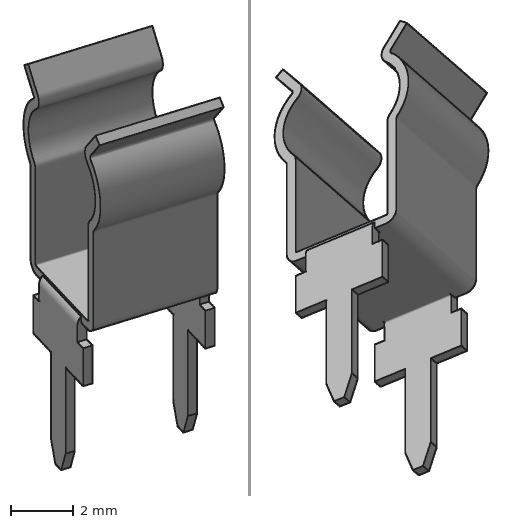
import cadquery as cq
import math

thickness = 0.35
inner_bend = 0.06
outer_bend = inner_bend + thickness

cradle_length = 4.53
wall_half_width = 2.13
floor_bottom = 6.4
floor_top = floor_bottom + thickness
wall_inside = wall_half_width - thickness

jaw_span = 5.23
jaw_half_width = jaw_span / 2
jaw_outer_radius = 1.86
jaw_inner_radius = jaw_outer_radius - thickness
jaw_center_x = jaw_half_width - jaw_outer_radius
jaw_center_z = 11.74
jaw_root_outer_radius = 0.21
jaw_root_inner_radius = 0.35

lip_notch_z = 13.23
lip_angle = math.radians(52)
lip_top = 14.32
lip_notch_radius = 0.09
lip_bend_radius = lip_notch_radius + thickness

leg_span = 4.8
neck_half_width = 1.3
shoulder_half_width = 1.69
pin_half_width = 0.5
tip_half_width = 0.2
shoulder_top = 5.69
shoulder_bottom = 4.2
taper_top = 0.83


def jaw_x(radius, z):
    """X of the right jaw circle at height z."""
    return jaw_center_x + math.sqrt(radius**2 - (z - jaw_center_z) ** 2)


def jaw_z_below(radius, x):
    """Z where the lower half of the right jaw circle reaches x."""
    return jaw_center_z - math.sqrt(radius**2 - (x - jaw_center_x) ** 2)


def lip_meets_jaw(start):
    """Where the inner line of the lip, run on past start, crosses the upper jaw circle."""
    along = (math.cos(lip_angle), math.sin(lip_angle))
    offset = (start[0] - jaw_center_x, start[1] - jaw_center_z)
    half_b = offset[0] * along[0] + offset[1] * along[1]
    c = offset[0] ** 2 + offset[1] ** 2 - jaw_inner_radius**2
    step = -half_b + math.sqrt(half_b**2 - c)
    return (start[0] + step * along[0], start[1] + step * along[1])


def cradle_side():
    """Right half of the cradle, from the mid-plane to the lip."""
    notch = (jaw_x(jaw_outer_radius, lip_notch_z), lip_notch_z)
    normal = (-thickness * math.sin(lip_angle), thickness * math.cos(lip_angle))
    lip_start = (notch[0] + normal[0], notch[1] + normal[1])
    lip_run = (lip_top - lip_start[1]) / math.tan(lip_angle)
    lip_inner_end = (lip_start[0] + lip_run, lip_top)
    lip_outer_end = (lip_inner_end[0] - normal[0], lip_top - normal[1])
    lip_root = lip_meets_jaw(lip_start)
    outer_root = (wall_half_width, jaw_z_below(jaw_outer_radius, wall_half_width))
    inner_root = (wall_inside, jaw_z_below(jaw_inner_radius, wall_inside))

    profile = (
        cq.Workplane("XZ")
        .moveTo(0, floor_bottom)
        .lineTo(wall_half_width, floor_bottom)
        .lineTo(*outer_root)
        .threePointArc((jaw_half_width, jaw_center_z), notch)
        .lineTo(*lip_outer_end)
        .lineTo(*lip_inner_end)
        .lineTo(*lip_root)
        .threePointArc((jaw_center_x + jaw_inner_radius, jaw_center_z), inner_root)
        .lineTo(wall_inside, floor_top)
        .lineTo(0, floor_top)
        .close()
    )
    side = profile.extrude(cradle_length / 2, both=True)
    bends = (
        ((wall_half_width, floor_bottom), outer_bend),
        ((wall_inside, floor_top), inner_bend),
        (outer_root, jaw_root_outer_radius),
        (inner_root, jaw_root_inner_radius),
        (notch, lip_notch_radius),
        (lip_root, lip_bend_radius),
    )
    for (x, z), radius in bends:
        side = side.edges(cq.selectors.NearestToPointSelector((x, 0, z))).fillet(radius)
    return side


def front_leg():
    """Leg at the -Y end: a strip bent down from the floor, cut to the pin outline."""
    leg_outside = -leg_span / 2
    leg_inside = leg_outside + thickness
    floor_overlap = leg_inside + outer_bend
    strip = (
        cq.Workplane("YZ")
        .moveTo(leg_outside, 0)
        .lineTo(leg_inside, 0)
        .lineTo(leg_inside, floor_bottom - inner_bend)
        .radiusArc((leg_inside + inner_bend, floor_bottom), inner_bend)
        .lineTo(floor_overlap, floor_bottom)
        .lineTo(floor_overlap, floor_top)
        .lineTo(leg_outside + outer_bend, floor_top)
        .radiusArc((leg_outside, floor_top - outer_bend), -outer_bend)
        .close()
        .extrude(shoulder_half_width, both=True)
    )
    right_outline = [
        (tip_half_width, 0),
        (pin_half_width, taper_top),
        (pin_half_width, shoulder_bottom),
        (shoulder_half_width, shoulder_bottom),
        (shoulder_half_width, shoulder_top),
        (neck_half_width, shoulder_top),
        (neck_half_width, floor_top),
    ]
    left_outline = [(-x, z) for x, z in reversed(right_outline)]
    blank = cq.Workplane("XZ").polyline(right_outline + left_outline).close()
    return strip.intersect(blank.extrude(leg_span, both=True))


side = cradle_side()
leg = front_leg()
result = side.union(side.mirror("YZ")).union(leg).union(leg.mirror("XZ")).clean()